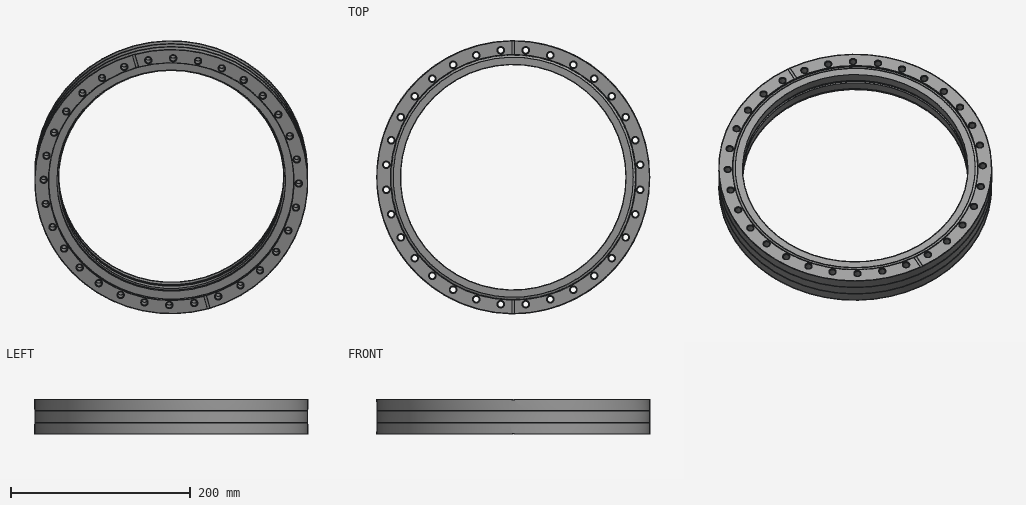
import cadquery as cq

ring_diameter = 304.0
ring_bore = 273.0
stack_height = 39.0
ring_count = 3
ring_height = stack_height / ring_count
edge_chamfer = 0.3

bolt_count = 32
bolt_circle = 284.0
bolt_diameter = 6.7
bolt_chamfer = 0.75
first_bolt_angle = 360.0 / bolt_count / 2

leak_groove_width = 3.0
leak_groove_depth = 0.5

sleeve_diameter = 272.7
sleeve_bore = 250.8
relief_bore = 254.5
sleeve_top = 37.7
knife_diameter = 267.3
knife_height = 0.5
seal_rim_drop = 0.5

section_count = 2
section_height = 16.5
narrow_height = 11.5
sleeve_bottom = sleeve_top - section_count * section_height


def on_bolt_circle(height):
    """Workplane at a height with one point per bolt hole."""
    plane = cq.Workplane("XY").workplane(offset=height)
    return plane.polarArray(bolt_circle / 2, first_bolt_angle, 360, bolt_count)


def make_ring(bottom):
    """Ring with chamfered rims and a circle of through holes."""
    blank = cq.Workplane("XY").workplane(offset=bottom)
    blank = blank.circle(ring_diameter / 2).circle(ring_bore / 2).extrude(ring_height)
    blank = blank.edges("%CIRCLE").chamfer(edge_chamfer)
    holes = on_bolt_circle(bottom).circle(bolt_diameter / 2).extrude(ring_height)
    return blank.cut(holes)


def make_leak_groove(face, inward):
    """Shallow arc-shaped groove across an end face; inward is the Z direction into the ring."""
    half_width = leak_groove_width / 2
    return (
        cq.Workplane("XZ")
        .moveTo(-half_width, face)
        .threePointArc((0, face + inward * leak_groove_depth), (half_width, face))
        .close()
        .extrude(ring_diameter / 2, both=True)
    )


def finish_end_face(ring, face, inward):
    """Chamfer the bolt holes on an outer end face of the stack and cut its leak-check groove."""
    side = "<Z" if inward > 0 else ">Z"
    smallest_circles = cq.selectors.RadiusNthSelector(0)
    ring = ring.faces(side).edges(smallest_circles).chamfer(bolt_chamfer)
    return ring.cut(make_leak_groove(face, inward))


def make_rings():
    """All rings of the stack, from the bottom up."""
    rings = [make_ring(level * ring_height) for level in range(ring_count)]
    rings[0] = finish_end_face(rings[0], 0, 1)
    rings[-1] = finish_end_face(rings[-1], stack_height, -1)
    return rings


def make_sleeve():
    """Sleeve with a knife edge on top and a relieved bore at the foot of each section."""
    sleeve = (
        cq.Workplane("XZ")
        .moveTo(sleeve_bore / 2, sleeve_bottom)
        .lineTo(sleeve_diameter / 2, sleeve_bottom)
        .lineTo(sleeve_diameter / 2, sleeve_top - seal_rim_drop)
        .lineTo(knife_diameter / 2, sleeve_top + knife_height)
        .lineTo(knife_diameter / 2, sleeve_top)
        .lineTo(sleeve_bore / 2, sleeve_top)
        .close()
        .revolve(360, (0, 0, 0), (0, 1, 0))
    )
    for section in range(section_count):
        relief_plane = cq.Workplane("XY").workplane(offset=sleeve_bottom + section * section_height)
        relief = relief_plane.circle(relief_bore / 2).extrude(section_height - narrow_height)
        sleeve = sleeve.cut(relief)
    return sleeve


rings = make_rings()
sleeve = make_sleeve()

result = cq.Compound.makeCompound([*[ring.val() for ring in rings], sleeve.val()])